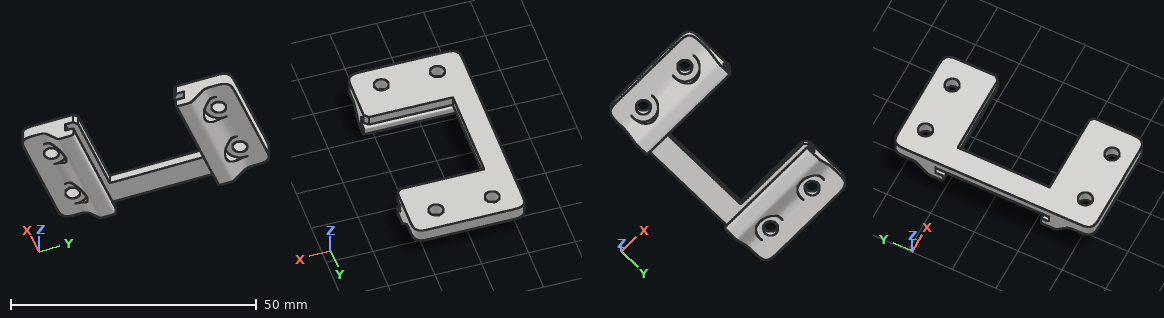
import cadquery as cq
import math

width = 24.0
length = 45.8
height = 6.0
half_length = length / 2

plate_thickness = 3.0
underside_z = height - plate_thickness
corner_setback = 3.0

blend_fullness = 0.8

slot_half_width = 12.95
slot_top_z = height - 2.25
slot_root_setback = 0.4
lip_top_z = height - 4.05
lip_half_gap = 11.15
lip_top_setback = 0.4
lip_tip_setback = 0.8

flank_top_y = 17.5
flank_bottom_y = flank_top_y - underside_z
flank_root_setback = 1.25
flank_tip_setback = 0.6

window_start_x = 5.2
window_half_width = 10.45
window_chamfer = 0.82
mouth_half_width = window_half_width + window_chamfer

hole_diameter = 3.0
head_diameter = 2 * hole_diameter
hole_pitch_x = width / 2
hole_pitch_y = 36.45


def step_toward(start, target, distance):
    """Point at the given distance from start on the way to target."""
    fraction = distance / math.dist(start, target)
    return tuple(a + fraction * (b - a) for a, b in zip(start, target))


def draw_blended_outline(plane, corners):
    """Closed outline of (point, setback) corners; a setback of 0 leaves the corner sharp.

    The first corner must be sharp. Each blend begins and ends one setback from its corner.
    """
    points = [point for point, _ in corners]
    outline = cq.Workplane(plane).moveTo(*points[0])
    for index in range(1, len(corners)):
        corner, setback = corners[index]
        if setback == 0:
            outline = outline.lineTo(*corner)
            continue
        before = points[index - 1]
        after = points[(index + 1) % len(points)]
        handle_distance = setback * (1 - blend_fullness)
        curve_start = step_toward(corner, before, setback)
        curve_end = step_toward(corner, after, setback)
        first_handle = step_toward(corner, before, handle_distance)
        last_handle = step_toward(corner, after, handle_distance)
        outline = outline.lineTo(*curve_start)
        outline = outline.bezier([first_handle, last_handle, curve_end], includeCurrent=True)
    return outline.close()


def make_half_profile():
    """+Y half of the cross-section, with its hook, extruded along X."""
    corners = [
        ((0, height), 0),
        ((half_length, height), 0),
        ((half_length, underside_z), 0),
        ((flank_top_y, underside_z), flank_root_setback),
        ((flank_bottom_y, 0), flank_tip_setback),
        ((lip_half_gap, 0), lip_tip_setback),
        ((lip_half_gap, lip_top_z), lip_top_setback),
        ((slot_half_width, lip_top_z), slot_root_setback),
        ((slot_half_width, slot_top_z), 0),
        ((0, slot_top_z), 0),
    ]
    return draw_blended_outline("YZ", corners).extrude(width)


def make_rounded_block():
    """Full-height block with the four blended corners of the plate."""
    corners = [
        ((width / 2, -half_length), 0),
        ((width, -half_length), corner_setback),
        ((width, half_length), corner_setback),
        ((0, half_length), corner_setback),
        ((0, -half_length), corner_setback),
    ]
    return draw_blended_outline("XY", corners).extrude(height)


def make_window():
    """Opening that flares at its mouth, leaving chamfered arm corners above the lips."""
    return (
        cq.Workplane("XY")
        .workplane(offset=slot_top_z)
        .moveTo(window_start_x, -window_half_width)
        .lineTo(width - window_chamfer, -window_half_width)
        .lineTo(width, -mouth_half_width)
        .lineTo(width, mouth_half_width)
        .lineTo(width - window_chamfer, window_half_width)
        .lineTo(window_start_x, window_half_width)
        .close()
        .extrude(height - slot_top_z)
    )


def make_screw_cuts(diameter, depth):
    """Four cylinders rising from Z = 0, one on each screw axis."""
    return (
        cq.Workplane("XY")
        .center(width / 2, 0)
        .rarray(hole_pitch_x, hole_pitch_y, 2, 2)
        .circle(diameter / 2)
        .extrude(depth)
    )


half_profile = make_half_profile()
result = half_profile.union(half_profile.mirror("XZ"))
result = result.intersect(make_rounded_block())
result = result.cut(make_window())
result = result.cut(make_screw_cuts(head_diameter, underside_z))
result = result.cut(make_screw_cuts(hole_diameter, height))
result = result.clean()